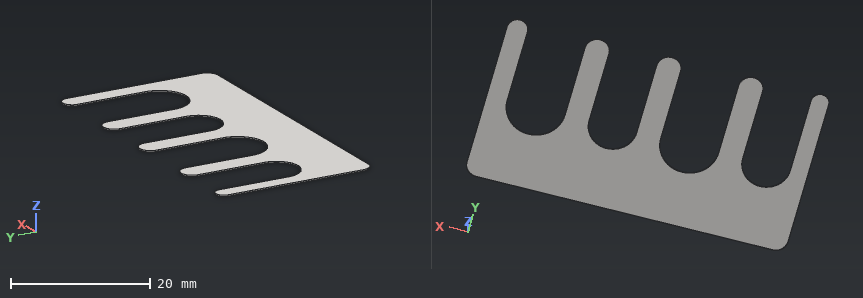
import cadquery as cq

length = 47.75
depth = 25.4
thickness = 0.25
corner_radius = 1.8

narrow_slot_width = 7.05
wide_slot_width = 8.6
slot_widths = [narrow_slot_width, wide_slot_width, narrow_slot_width, wide_slot_width]
slot_pitch = 11.4
first_slot_center = 6.15
slot_arc_center_y = 12.7

slots = [(first_slot_center + i * slot_pitch, width / 2) for i, width in enumerate(slot_widths)]


def add_tine_tip(outline, left, right):
    """Draw up the left side of a tine and over its semicircular tip."""
    radius = (right - left) / 2
    return outline.lineTo(left, depth - radius).threePointArc(
        ((left + right) / 2, depth), (right, depth - radius)
    )


def add_slot_bottom(outline, center_x, radius):
    """Draw down the left side of a slot and around its semicircular bottom."""
    return outline.lineTo(center_x - radius, slot_arc_center_y).threePointArc(
        (center_x, slot_arc_center_y - radius), (center_x + radius, slot_arc_center_y)
    )


outline = cq.Workplane("XY").moveTo(0, 0)
tine_left = 0.0
for center_x, radius in slots:
    outline = add_tine_tip(outline, tine_left, center_x - radius)
    outline = add_slot_bottom(outline, center_x, radius)
    tine_left = center_x + radius
outline = add_tine_tip(outline, tine_left, length)
plate = outline.lineTo(length, 0).close().extrude(thickness)

result = plate.faces("<Y").edges("|Z").fillet(corner_radius)